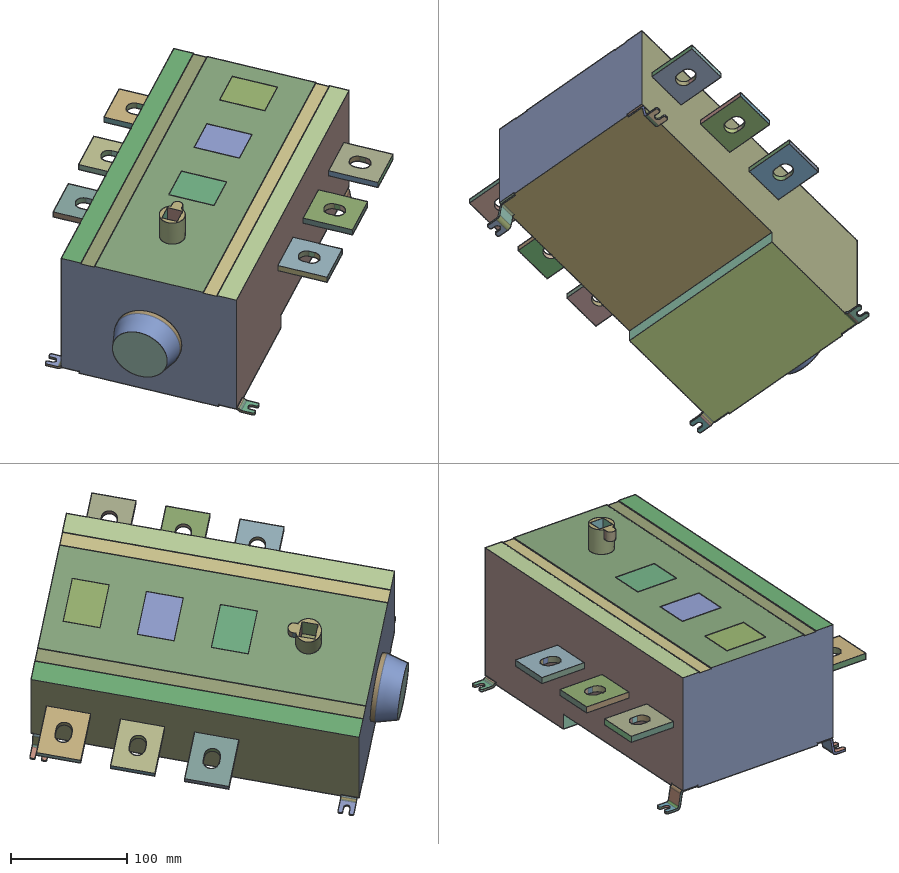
import cadquery as cq
import math


body_width = 160.0
body_length = 287.0
body_top = 129.5
sheet = 2.2
body_bottom = sheet
rear_bottom = 16.7
step_y = 113.8
half_width = body_width / 2

groove_width = 12.5
groove_offset = 55.8
groove_depth = 1.0
window_width = 41.2
window_length = 32.2
window_depth = 0.3

overall_width = 250.0
tab_length = 38.8
tab_thickness = 6.0
tab_bottom = 75.0
tab_slot_length = 19.0
tab_slot_width = 14.0
tab_slot_offset = 101.7
pole_pitch = 64.8
middle_pole_y = 189.5
pole_positions = [middle_pole_y + i * pole_pitch for i in (-1, 0, 1)]

overall_height = 153.8
shaft_diameter = 22.3
shaft_y = 59.8
shaft_height = overall_height - body_top
socket_side = 14.0
lug_radius = 4.5
lug_reach = 17.7
lug_height = 9.3

overall_length = 310.0
knob_diameter = 60.0
knob_tip_diameter = 50.0
knob_rim = 4.3
knob_length = overall_length - body_length
knob_z = 62.3

front_foot_width = 14.0
rear_foot_width = 15.0
foot_inset = 2.0
foot_tip_x = 95.5
flange_inner_x = 63.5
foot_slot_width = 5.5
foot_slot_depth = 8.0
foot_tip_radius = 1.5
front_bend = 1.0
rear_bend = 2.0
front_fold = (80.5, 83.5)
rear_fold = (80.5, 83.5)


def both_sides(shape):
    """The shape together with its mirror image in X."""
    return shape.union(shape.mirror("YZ"))


def block(x_size, y_size, z_size, center_x, center_y, bottom):
    """Box centred in X and Y, standing on the given height."""
    return cq.Workplane("XY").box(x_size, y_size, z_size, (True, True, False)).translate(
        (center_x, center_y, bottom)
    )


def make_housing():
    """Housing with a stepped underside, top grooves and window recesses."""
    side_outline = [
        (0, body_bottom),
        (step_y, body_bottom),
        (step_y, rear_bottom),
        (body_length, rear_bottom),
        (body_length, body_top),
        (0, body_top),
    ]
    housing = cq.Workplane("YZ").polyline(side_outline).close().extrude(half_width, both=True)
    groove_floor = body_top - groove_depth
    groove = block(groove_width, body_length, groove_depth, groove_offset, body_length / 2, groove_floor)
    housing = housing.cut(both_sides(groove))
    window_floor = body_top - window_depth
    for y in pole_positions:
        housing = housing.cut(block(window_width, window_length, window_depth, 0, y, window_floor))
    return housing


def make_foot_recesses(start_y, end_y, bottom):
    """Pair of shallow notches in the underside, open to the end face, for the foot flanges."""
    width = half_width - flange_inner_x
    center_x = flange_inner_x + width / 2
    return both_sides(block(width, end_y - start_y, sheet, center_x, (start_y + end_y) / 2, bottom))


def make_tab(center_y):
    """Flat terminal bar across the housing, with a slot at each end."""
    bar = block(overall_width, tab_length, tab_thickness, 0, center_y, tab_bottom)
    slots = (
        cq.Workplane("XY", origin=(0, center_y, tab_bottom))
        .pushPoints([(-tab_slot_offset, 0), (tab_slot_offset, 0)])
        .slot2D(tab_slot_length, tab_slot_width)
        .extrude(tab_thickness)
    )
    return bar.cut(slots)


def make_shaft():
    """Round shaft with a lug at its top and a square socket down its axis."""
    shaft = cq.Workplane("XY").circle(shaft_diameter / 2).extrude(shaft_height)
    lug_center = lug_reach - lug_radius
    lug = (
        cq.Workplane("XY", origin=(0, 0, shaft_height - lug_height))
        .moveTo(-lug_radius, 0)
        .lineTo(-lug_radius, lug_center)
        .threePointArc((0, lug_reach), (lug_radius, lug_center))
        .lineTo(lug_radius, 0)
        .close()
        .extrude(lug_height)
    )
    socket = cq.Workplane("XY").rect(socket_side, socket_side).extrude(shaft_height)
    return shaft.union(lug).cut(socket).translate((0, shaft_y, body_top))


def make_knob():
    """Short cylindrical rim followed by a taper to the flat tip."""
    half_outline = [
        (0, 0),
        (knob_diameter / 2, 0),
        (knob_diameter / 2, -knob_rim),
        (knob_tip_diameter / 2, -knob_length),
        (0, -knob_length),
    ]
    knob = cq.Workplane("XY").polyline(half_outline).close().revolve(360, (0, 0), (0, 1))
    return knob.translate((0, 0, knob_z))


def make_feet(start_y, end_y, flange_bottom, fold, bend_radius):
    """Pair of Z-bent feet: flange in the housing, sloped web, forked outer end."""
    upper_x, lower_x = fold
    flange_top = flange_bottom + sheet
    slope = math.atan2(flange_top - sheet, lower_x - upper_x)
    miter = sheet * math.tan(slope / 2)
    outline = [
        (flange_inner_x, flange_top),
        (upper_x, flange_top),
        (lower_x, sheet),
        (foot_tip_x, sheet),
        (foot_tip_x, 0),
        (lower_x - miter, 0),
        (upper_x - miter, flange_bottom),
        (flange_inner_x, flange_bottom),
    ]
    foot = cq.Workplane("XZ").polyline(outline).close().extrude((end_y - start_y) / 2, both=True)

    def fold_edge(x, z):
        return cq.selectors.NearestToPointSelector((x, 0, z))

    for x, z, radius in [
        (upper_x, flange_top, bend_radius + sheet),
        (upper_x - miter, flange_bottom, bend_radius),
        (lower_x, sheet, bend_radius),
        (lower_x - miter, 0, bend_radius + sheet),
    ]:
        foot = foot.edges("|Y").edges(fold_edge(x, z)).fillet(radius)

    slot = (
        cq.Workplane("XY")
        .center(foot_tip_x, 0)
        .slot2D(2 * foot_slot_depth, foot_slot_width)
        .extrude(sheet)
    )
    foot = foot.cut(slot).faces(">X").edges("|Z").fillet(foot_tip_radius)
    return both_sides(foot.translate((0, (start_y + end_y) / 2, 0)))


front_foot_end = foot_inset + front_foot_width
rear_foot_end = body_length - foot_inset
rear_foot_start = rear_foot_end - rear_foot_width

result = make_housing()
result = result.cut(make_foot_recesses(0, front_foot_end, body_bottom))
result = result.cut(make_foot_recesses(rear_foot_start, body_length, rear_bottom))
result = result.union(make_feet(foot_inset, front_foot_end, body_bottom, front_fold, front_bend))
result = result.union(make_feet(rear_foot_start, rear_foot_end, rear_bottom, rear_fold, rear_bend))
for pole_y in pole_positions:
    result = result.union(make_tab(pole_y))
result = result.union(make_shaft()).union(make_knob())